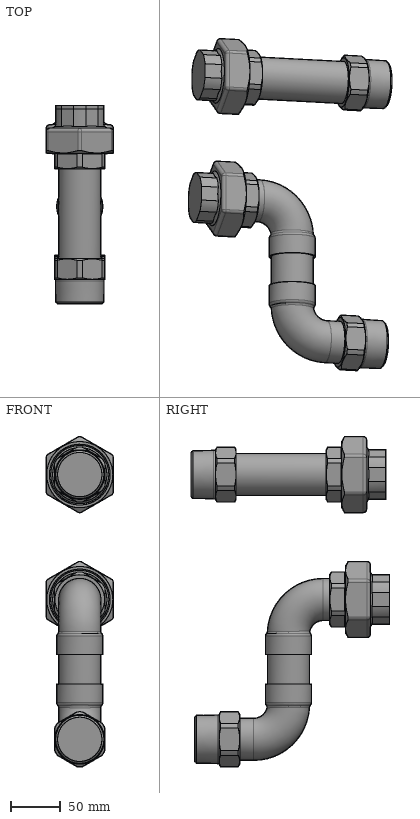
import cadquery as cq
import math


body_length = 195.0
union_stagger = 3.5
axis_spacing = 125.0
elbow_drop = 139.8

pipe_radius = 21.0
bend_radius = 34.7
riser_setback = 101.0

sleeve_radius = 23.0
sleeve_open_end = 55.2
sleeve_straight_end = 36.7
sleeve_shoulder_radius = 4.0
sleeve_root_fillet = 3.0

tail_flats = 48.3
tail_radius = 25.0
tail_flare_start = 17.0
tail_flare_radius = 27.5

nut_flats = 67.0
nut_start = 19.2
nut_end = 44.3
nut_edge_fillet = 3.5
nut_face_radius = 33.0
groove_outer_radius = 30.5
groove_bottom_radius = 29.0

collar_radius = 27.0
collar_end = 45.0

hex_flats = 50.2
hex_corner_diameter = 55.2
hex_corner_radius = hex_corner_diameter / 2
hex_face_radius = 24.8
union_hex_end = 59.8
nipple_hex_start = 149.7
nipple_hex_end = 170.5

nipple_root_radius = 24.5
nipple_root_length = 1.5
nipple_tip_radius = 24.0
nipple_chamfer = 2.0

CHAMFER_SLOPE = math.tan(math.radians(30))
OVERLAP = 3.3


def turned(points):
    """Solid of revolution about Z from (radius, height) points, closed along the axis."""
    outline = [(0, points[0][1]), *points, (0, points[-1][1])]
    return cq.Workplane("XZ").polyline(outline).close().revolve(360, (0, 0), (0, 1))


def cylinder(radius, start, end):
    return turned([(radius, start), (radius, end)])


def hexagon(flats, start, end):
    """Hexagonal prism with corners on the local Y axis."""
    across_corners = flats / math.cos(math.radians(30))
    prism = cq.Workplane("XY").polygon(6, across_corners).extrude(end - start)
    return prism.rotate((0, 0, 0), (0, 0, 1), 90).translate((0, 0, start))


def chamfer_height(outer_radius, face_radius):
    return (outer_radius - face_radius) * CHAMFER_SLOPE


def union_tail():
    bar = cylinder(tail_radius, 0, nut_start + OVERLAP)
    flats = hexagon(tail_flats, 0, nut_start + OVERLAP)
    flare = turned([
        (tail_flats / 2, tail_flare_start),
        (tail_flare_radius, nut_start),
        (tail_flare_radius, nut_start + OVERLAP),
    ])
    return bar.intersect(flats).union(flare)


def union_nut():
    """Hexagon nut with rounded edges, a chamfered front and a V groove around the collar."""
    body = hexagon(nut_flats, nut_start, nut_end)
    body = body.edges("|Z or <Z").fillet(nut_edge_fillet)
    corner_radius = nut_flats / 2 / math.cos(math.radians(30))
    chamfer_start = nut_end - chamfer_height(corner_radius, nut_face_radius)
    envelope = turned([
        (corner_radius, nut_start),
        (corner_radius, chamfer_start),
        (nut_face_radius, nut_end),
    ])
    groove_bottom = nut_end - (groove_outer_radius - groove_bottom_radius)
    mouth = turned([(groove_bottom_radius, groove_bottom), (groove_outer_radius, nut_end)])
    collar = turned([(groove_bottom_radius, groove_bottom), (collar_radius, collar_end)])
    return body.intersect(envelope).cut(mouth).union(collar)


def small_hexagon(start, end, chamfer_start):
    """Hexagon with turned corners, chamfered at its far end and optionally at its start."""
    rise = chamfer_height(hex_corner_radius, hex_face_radius)
    points = [(hex_corner_radius, end - rise), (hex_face_radius, end)]
    if chamfer_start:
        points = [(hex_face_radius, start), (hex_corner_radius, start + rise), *points]
    else:
        points = [(hex_corner_radius, start), *points]
    return hexagon(hex_flats, start, end).intersect(turned(points))


def union_end():
    hex_start = nut_end - OVERLAP
    return union_tail().union(union_nut()).union(small_hexagon(hex_start, union_hex_end, False))


def nipple_end():
    nipple = turned([
        (nipple_root_radius, nipple_hex_end - OVERLAP),
        (nipple_root_radius, nipple_hex_end + nipple_root_length),
        (nipple_tip_radius, body_length - nipple_chamfer),
        (nipple_tip_radius - nipple_chamfer, body_length),
    ])
    return small_hexagon(nipple_hex_start, nipple_hex_end, True).union(nipple)


def lay_along_y(part):
    """Turn local +Z to -Y and local +Y to +Z."""
    return part.rotate((0, 0, 0), (1, 0, 0), 90)


def offset_pipe():
    """Pipe that runs along -Y, bends down, and bends back to -Y."""
    start = -(union_hex_end - OVERLAP)
    end = -(nipple_hex_start + OVERLAP)
    diagonal = bend_radius * math.sin(math.radians(45))
    upper_center = (-riser_setback + bend_radius, -bend_radius)
    lower_center = (-riser_setback - bend_radius, -elbow_drop + bend_radius)
    path = (
        cq.Workplane("YZ")
        .moveTo(start, 0)
        .lineTo(upper_center[0], 0)
        .threePointArc(
            (upper_center[0] - diagonal, upper_center[1] + diagonal),
            (-riser_setback, upper_center[1]),
        )
        .lineTo(-riser_setback, lower_center[1])
        .threePointArc(
            (lower_center[0] + diagonal, lower_center[1] - diagonal),
            (lower_center[0], -elbow_drop),
        )
        .lineTo(end, -elbow_drop)
    )
    return cq.Workplane("XZ", origin=(0, start, 0)).circle(pipe_radius).sweep(path)


def sleeve():
    """Sleeve below an elbow whose axis is at height 0, with a rounded 45 degree shoulder."""
    cone_angle = math.radians(45)
    arc_center = sleeve_radius - sleeve_shoulder_radius

    def shoulder(angle):
        radius = arc_center + sleeve_shoulder_radius * math.cos(angle)
        height = -sleeve_straight_end + sleeve_shoulder_radius * math.sin(angle)
        return radius, height

    cone_start = shoulder(cone_angle)
    cone_top = (cone_start[0] - OVERLAP, cone_start[1] + OVERLAP)
    outline = (
        cq.Workplane("XZ")
        .moveTo(0, -sleeve_open_end)
        .lineTo(sleeve_radius, -sleeve_open_end)
        .lineTo(sleeve_radius, -sleeve_straight_end)
        .threePointArc(shoulder(cone_angle / 2), cone_start)
        .lineTo(*cone_top)
        .lineTo(0, cone_top[1])
        .close()
    )
    return outline.revolve(360, (0, 0), (0, 1))


def straight_connection():
    pipe = cylinder(pipe_radius, union_hex_end - OVERLAP, nipple_hex_start + OVERLAP)
    return lay_along_y(union_end().union(pipe).union(nipple_end()))


def offset_connection():
    upper_sleeve = sleeve().translate((0, -riser_setback, 0))
    lower_sleeve = sleeve().rotate((0, 0, 0), (1, 0, 0), 180).translate((0, -riser_setback, -elbow_drop))
    pipe = offset_pipe().union(upper_sleeve).union(lower_sleeve)

    root_height = sleeve_straight_end - sleeve_shoulder_radius
    tolerance = 1.3
    for middle in (-root_height, root_height - elbow_drop):
        zone = cq.selectors.BoxSelector(
            (-sleeve_radius, -riser_setback - sleeve_radius, middle - tolerance),
            (sleeve_radius, -riser_setback + sleeve_radius, middle + tolerance),
            boundingbox=True,
        )
        pipe = pipe.edges(zone).fillet(sleeve_root_fillet)
    nipple = lay_along_y(nipple_end()).translate((0, 0, -elbow_drop))
    return pipe.union(lay_along_y(union_end())).union(nipple)


straight = straight_connection().translate((0, -union_stagger, axis_spacing))
offset = offset_connection()

result = cq.Compound.makeCompound([straight.val(), offset.val()])